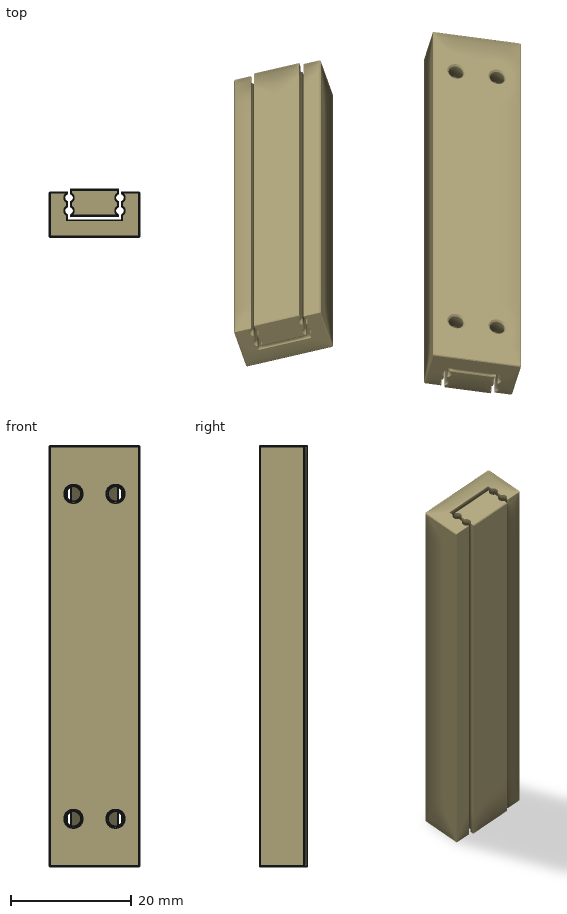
import cadquery as cq

LENGTH = 70.0
HOUSING_WIDTH = 15.0
TOTAL_DEPTH = 8.0
HOUSING_DEPTH = 7.5
FLOOR_THICKNESS = 2.9
EDGE_CHAMFER = 0.15

CARRIAGE_WIDTH = 7.85
CARRIAGE_THICKNESS = 4.5
SIDE_GAP = 0.6
CHANNEL_WIDTH = CARRIAGE_WIDTH + 2 * SIDE_GAP

TRACK_DIAMETER = 1.55
TRACK_SPACING = 2.2
REAR_TRACK_FROM_BACK = 1.4
TRACK_X = (CARRIAGE_WIDTH + SIDE_GAP) / 2
REAR_TRACK_Y = TOTAL_DEPTH - REAR_TRACK_FROM_BACK
TRACK_CENTRES = [
    (side * TRACK_X, y)
    for side in (-1, 1)
    for y in (REAR_TRACK_Y, REAR_TRACK_Y - TRACK_SPACING)
]

HOLE_DIAMETER = 2.5
COUNTERSINK_ANGLE = 90
HOLE_MOUTH_DIAMETER = 3.1
HOLE_SPACING_X = 7.0
HOLE_END_DISTANCE = 8.0
HOLE_SPACING_Z = LENGTH - 2 * HOLE_END_DISTANCE


def bar(width, front, back):
    """A full-length bar centred on X, from Y = front to Y = back."""
    return cq.Workplane("XY").box(width, back - front, LENGTH, centered=(True, False, False)).translate(
        (0, front, 0)
    )


def ball_tracks():
    """Four full-length cylinders that leave the round ball grooves."""
    return cq.Workplane("XY").pushPoints(TRACK_CENTRES).circle(TRACK_DIAMETER / 2).extrude(LENGTH)


def add_mounting_holes(body):
    """Cut four countersunk holes from the front face to the channel floor."""
    front_face = cq.Workplane("XZ", origin=(0, 0, LENGTH / 2))
    centres = body.copyWorkplane(front_face).rarray(HOLE_SPACING_X, HOLE_SPACING_Z, 2, 2)
    return centres.cskHole(HOLE_DIAMETER, HOLE_MOUTH_DIAMETER, COUNTERSINK_ANGLE, FLOOR_THICKNESS)


def make_housing():
    """U-shaped rail with its channel open at the back, and every outer edge but the back ends chamfered."""
    body = bar(HOUSING_WIDTH, 0, HOUSING_DEPTH)
    body = body.edges("|Z or <Y or (|Y and (<X or >X))").chamfer(EDGE_CHAMFER)
    channel = bar(CHANNEL_WIDTH, FLOOR_THICKNESS, HOUSING_DEPTH)
    return add_mounting_holes(body.cut(channel).cut(ball_tracks()))


def make_carriage():
    """Flat slider with its end edges along X chamfered."""
    body = bar(CARRIAGE_WIDTH, TOTAL_DEPTH - CARRIAGE_THICKNESS, TOTAL_DEPTH)
    return body.edges("|X").chamfer(EDGE_CHAMFER).cut(ball_tracks())


housing = make_housing()
carriage = make_carriage()
result = cq.Compound.makeCompound([housing.val(), carriage.val()])